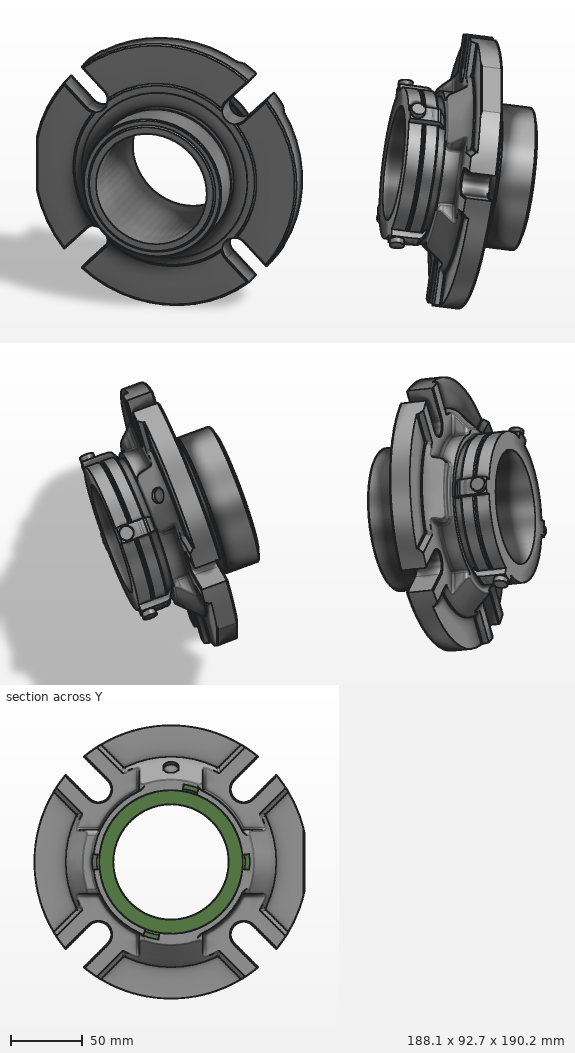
import cadquery as cq
import math


tolerance = 0.02

bore_dia = 80.1
sleeve_dia = 100.3
nose_tip_dia = 89.8
nose_root_dia = 92.0
nose_length = 1.3
sleeve_chamfer = 1.0
relief_dia = 97.0
relief_start = 25.5
relief_end = 27.0

flange_dia = 190.2
flange_front = 34.0
flange_rear = 49.5
rim_chamfer = 1.1
raised_face_dia = 132.8
raised_face_chamfer = 1.3
raised_face_y = 33.3
inner_step_dia = 120.0
inner_step_y = 32.7
side_flat_x = -93.0
side_flat_chamfer = 1.0

slot_width = 17.9
slot_bottom_radius = 62.5
slot_chamfer = 0.8
slot_angles = (45, 135, 225, 315)
pad_rear = 53.8
pad_base_half_width = 23.2
pad_fillet = 1.9
buried_y = 45.7

hub_dia = 108.0
hub_rear = 66.2
cone_base_radius = 73.2
cone_base_y = 50.6
boss_half_width = 22.3
boss_corner_radius = 3.8
boss_edge_fillet = 1.0
hub_fillet = 1.9
boss_block_length = 85.6
short_boss_rear = 62.2
boss_rears = {0: short_boss_rear, 90: hub_rear, 180: hub_rear, 270: hub_rear}
port_angle = 90
port_dia = 11.0
port_y = 58.0
port_depth = 2.7

collar_dia = 100.0
ring_dia = 106.2
ring_groove_dia = 94.0
ring_front = 71.3
ring_groove_front = 81.5
ring_groove_rear = 83.1
ring_chamfer = 1.0
overall_length = 92.7

clip_angles = (0, 105, 180, 285)
clip_width = 11.8
clip_inner_radius = 52.9
clip_outer_radius = 58.2
clip_bend_rear = 72.9
clip_bend_front = 71.0
clip_bend_radius = 57.3
clip_tip_radius = 49.8
clip_tip_y = 66.5
clip_tip_inner_y = 68.1
clip_step_rear = 77.2
clip_step_front = 76.0
clip_step_depth = 0.2
screw_dia = 10.0
screw_y = 87.5
screw_head_radius = 62.2


def turned(points):
    """Solid of revolution about Y from (radius, y) points."""
    return cq.Workplane("XY").polyline(points).close().revolve(360, (0, 0), (0, 1))


def around(shape, angle):
    """Turn a shape built on the +X side to its angle around the axis."""
    return shape.rotate((0, 0, 0), (0, 1, 0), -angle)


def cylinder(diameter, front, rear):
    return cq.Workplane("XZ").circle(diameter / 2).extrude(front - rear).translate((0, front, 0))


def cone_radius(y):
    """Radius of the 45 degree conical back at a given y."""
    return cone_base_radius + cone_base_y - y


def distance_from_axis(point):
    return math.hypot(point.x, point.z)


def same(a, b):
    return abs(a - b) < tolerance


def make_boss_block(rear):
    return (
        cq.Workplane("XY")
        .box(boss_block_length, rear - buried_y, 2 * boss_half_width, centered=(False, False, True))
        .translate((0, buried_y, 0))
        .edges(">Y and |X")
        .fillet(boss_corner_radius)
    )


def is_hub_root(edge):
    """True in the inner corners between hub, bosses and pad level."""
    radii = sorted([distance_from_axis(edge.startPoint()), distance_from_axis(edge.endPoint())])
    starts_on_hub = same(radii[0], hub_dia / 2)
    lies_on_hub = starts_on_hub and same(radii[1], hub_dia / 2)
    at_pad_level = same(edge.BoundingBox().ymax, pad_rear)
    below_hub_rear = edge.Center().y < hub_rear - tolerance
    return (at_pad_level and starts_on_hub) or (lies_on_hub and below_hub_rear)


def is_boss_rim(edge):
    return edge.geomType() == "HYPERBOLA"


def is_pad_corner(edge):
    """True where a pad side meets the conical back."""
    centre = edge.Center()
    sloping_part = edge.geomType() == "PARABOLA"
    upright_part = edge.geomType() == "LINE" and same(distance_from_axis(centre), cone_base_radius)
    return (sloping_part or upright_part) and centre.y < pad_rear


def fillet_where(body, condition, radius):
    chosen = [edge for edge in body.edges().vals() if condition(edge)]
    return body.newObject(chosen).fillet(radius)


def make_gland():
    """Hub with four bosses, trimmed to a cone, on four sloped pads."""
    gland = cylinder(2 * boss_block_length, buried_y, pad_rear)
    gland = gland.union(cylinder(hub_dia, buried_y, hub_rear))
    for angle, rear in boss_rears.items():
        gland = gland.union(around(make_boss_block(rear), angle))
    gland = fillet_where(gland, is_hub_root, hub_fillet)

    cone = turned([
        (0, buried_y),
        (cone_base_radius, buried_y),
        (cone_base_radius, cone_base_y),
        (cone_radius(hub_rear), hub_rear),
        (0, hub_rear),
    ])
    gland = fillet_where(gland.intersect(cone), is_boss_rim, boss_edge_fillet)

    for angle in slot_angles:
        gland = gland.union(around(make_pad(), angle))
    return fillet_where(gland, is_pad_corner, pad_fillet)


def make_pad():
    """Pad along +X with sides sloping at 45 degrees above a short upright part."""
    top_half_width = pad_base_half_width + cone_base_y - pad_rear
    pad = (
        cq.Workplane("YZ")
        .polyline([
            (buried_y, -pad_base_half_width),
            (cone_base_y, -pad_base_half_width),
            (pad_rear, -top_half_width),
            (pad_rear, top_half_width),
            (cone_base_y, pad_base_half_width),
            (buried_y, pad_base_half_width),
        ])
        .close()
        .extrude(flange_dia)
    )
    return pad.cut(cylinder(hub_dia, buried_y, pad_rear))


def make_flange_disc(rear):
    radius = flange_dia / 2
    return turned([
        (0, inner_step_y),
        (inner_step_dia / 2, inner_step_y),
        (inner_step_dia / 2, raised_face_y),
        (raised_face_dia / 2 - raised_face_chamfer, raised_face_y),
        (raised_face_dia / 2, flange_front),
        (radius - rim_chamfer, flange_front),
        (radius, flange_front + rim_chamfer),
        (radius, rear),
        (0, rear),
    ])


def make_slot(width, front, rear):
    """Open slot towards +X with a round bottom."""
    bottom_centre = slot_bottom_radius + slot_width / 2
    return (
        cq.Workplane("XZ")
        .moveTo(flange_dia, width / 2)
        .lineTo(bottom_centre, width / 2)
        .threePointArc((bottom_centre - width / 2, 0), (bottom_centre, -width / 2))
        .lineTo(flange_dia, -width / 2)
        .close()
        .extrude(front - rear)
        .translate((0, front, 0))
    )


def make_slot_cutter():
    """Slot with chamfered mouths on the flange face and on the pads."""
    slot = make_slot(slot_width, inner_step_y, pad_rear)
    mouth_width = slot_width + 2 * slot_chamfer
    front_mouth = make_slot(mouth_width, flange_front - slot_chamfer, flange_front + slot_chamfer)
    front_mouth = front_mouth.faces(">Y").chamfer(slot_chamfer)
    front_mouth = front_mouth.cut(cylinder(raised_face_dia, inner_step_y, pad_rear))
    rear_mouth = make_slot(mouth_width, pad_rear - slot_chamfer, pad_rear + slot_chamfer)
    rear_mouth = rear_mouth.faces("<Y").chamfer(slot_chamfer)
    return slot.union(front_mouth).union(rear_mouth)


def make_clip():
    """Clip at +X: a bent strip with radial sides and a screw head on it."""
    strip = turned([
        (clip_inner_radius, overall_length),
        (clip_outer_radius, overall_length),
        (clip_outer_radius, clip_step_rear),
        (clip_outer_radius - clip_step_depth, clip_step_front),
        (clip_outer_radius - clip_step_depth, clip_bend_rear),
        (clip_bend_radius, clip_bend_front),
        (clip_tip_radius, clip_tip_y),
        (clip_tip_radius, clip_tip_inner_y),
        (clip_inner_radius, clip_bend_front),
    ])
    half_angle = math.asin(clip_width / 2 / clip_outer_radius)
    wedge_half_width = flange_dia * math.tan(half_angle)
    wedge = (
        cq.Workplane("XZ")
        .polyline([(0, 0), (flange_dia, -wedge_half_width), (flange_dia, wedge_half_width)])
        .close()
        .extrude(-overall_length)
    )
    head = (
        cq.Workplane("YZ", origin=(clip_inner_radius, screw_y, 0))
        .circle(screw_dia / 2)
        .extrude(screw_head_radius - clip_inner_radius)
    )
    return strip.intersect(wedge).union(head)


def make_port():
    """Cutter for a shallow round port, square to the 45 degree boss face, at +X."""
    slope = cq.Plane(
        origin=(cone_radius(port_y), port_y, 0),
        xDir=(0, 0, 1),
        normal=(1, 1, 0),
    )
    face = cq.Workplane(slope)
    return face.workplane(offset=-port_depth).circle(port_dia / 2).extrude(2 * port_depth)


def make_sleeve():
    """Sleeve nose and body, running back into the gland."""
    radius = sleeve_dia / 2
    return turned([
        (0, 0),
        (nose_tip_dia / 2, 0),
        (nose_root_dia / 2, nose_length),
        (radius - sleeve_chamfer, nose_length),
        (radius, nose_length + sleeve_chamfer),
        (radius, relief_start),
        (relief_dia / 2, relief_start),
        (relief_dia / 2, relief_end),
        (radius, relief_end),
        (radius, flange_rear),
        (0, flange_rear),
    ])


def make_drive_ring():
    """Collar behind the hub, then two rings with a groove between them."""
    radius = ring_dia / 2
    return turned([
        (0, flange_rear),
        (collar_dia / 2, flange_rear),
        (collar_dia / 2, ring_front),
        (radius - ring_chamfer, ring_front),
        (radius, ring_front + ring_chamfer),
        (radius, ring_groove_front - ring_chamfer),
        (radius - ring_chamfer, ring_groove_front),
        (ring_groove_dia / 2, ring_groove_front),
        (ring_groove_dia / 2, ring_groove_rear),
        (radius, ring_groove_rear),
        (radius, overall_length),
        (0, overall_length),
    ])


gland = make_gland().intersect(make_flange_disc(overall_length))
result = make_flange_disc(flange_rear).union(gland)
slot_cutter = make_slot_cutter()
for angle in slot_angles:
    result = result.cut(around(slot_cutter, angle))

flat_cutter = cq.Workplane("XY").box(flange_dia, flange_dia, 2 * flange_dia)
result = result.cut(flat_cutter.translate((side_flat_x - flange_dia / 2, 0, 0)))
result = result.faces("<X").edges("|Z").chamfer(side_flat_chamfer)
result = result.cut(around(make_port(), port_angle))

result = result.union(make_sleeve()).union(make_drive_ring())
for angle in clip_angles:
    result = result.union(around(make_clip(), angle))

result = result.cut(cylinder(bore_dia, 0, overall_length))